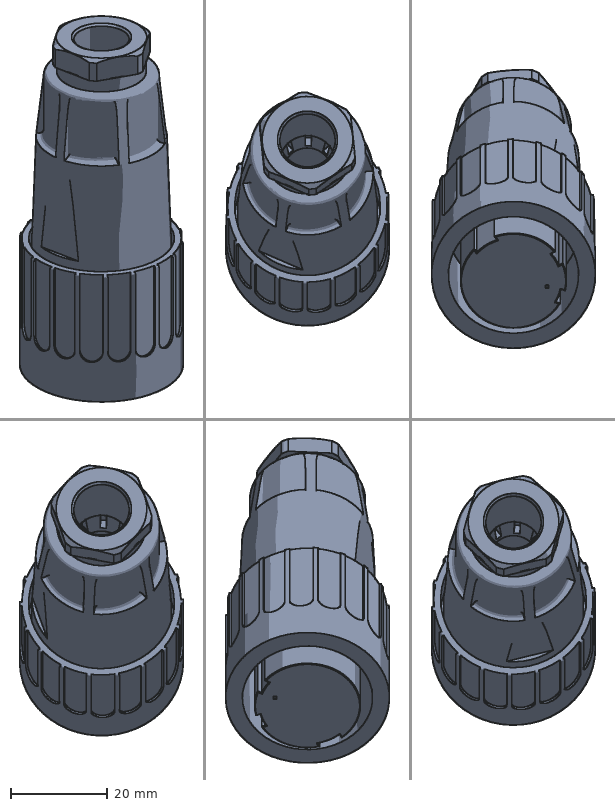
import cadquery as cq
import math

TOTAL_HEIGHT = 79.6
HEX_BOTTOM = 74.75
SHELL_TOP = 71.65
CAGE_TOP = 63.7
CAGE_SLOT_FLOOR = 58.9
CAGE_SEAT = 57.3
SHOULDER = 56.5
FLAT_BOTTOM = 34.2
RING_TOP = 32.55
FLANGE_TOP = 31.45
INSERT_TOP = 30.25
SHELL_BOTTOM = 23.9
FLUTE_BOTTOM = 12.25
RING_BOTTOM = 3.0
INSERT_BOTTOM = 0.2

HEX_ACROSS_FLATS = 18.95
HEX_CORNER_DIAMETER = 21.0
HEX_TOP_DIAMETER = 18.8
HEX_CHAMFER_HEIGHT = 0.6
NECK_DIAMETER = 18.6
GLAND_BORE_DIAMETER = 17.0
CABLE_BORE_DIAMETER = 11.5
CABLE_BORE_CHAMFER = 0.5

CAGE_THROAT_DIAMETER = 10.0
CAGE_SLOT_COUNT = 8
CAGE_SLOT_WIDTH = 1.3
CAGE_SLOT_OUTER_DIAMETER = 13.5

COLLAR_DIAMETER = 24.0
COLLAR_FILLET = 1.0
RIB_TOP = SHELL_TOP - COLLAR_FILLET
GROOVE_FILLET = 1.1
SHOULDER_DIAMETER = 27.2
FLANGE_DIAMETER = 29.0
FLAT_SPACING = 27.0
WIRE_BORE_DIAMETER = 13.5
RIB_COUNT = 6
RIB_WIDTH = 2.2
RIB_ROOT_FILLET = 0.5

RING_DIAMETER = 34.0
RING_TOP_BORE_DIAMETER = 30.2
RING_BORE_DIAMETER = 27.0
RING_TOP_FILLET = 0.5
FLUTE_COUNT = 18
FLUTE_WIDTH = 4.85
FLUTE_DEPTH = 0.5
FLUTE_START_ANGLE = 2.5

INSERT_DIAMETER = 22.0
INSERT_CHAMFER = 0.15
KEYWAY_DEPTH = 0.95
NARROW_KEYWAY_WIDTH = 3.1
WIDE_KEYWAY_WIDTH = 5.1
KEYWAYS = [(180, WIDE_KEYWAY_WIDTH), (-85, NARROW_KEYWAY_WIDTH), (-35, NARROW_KEYWAY_WIDTH)]
INDEX_DOT_DIAMETER = 0.7
INDEX_DOT_OFFSET = 5.0


def cylinder(diameter, bottom, top):
    return cq.Workplane("XY").workplane(offset=bottom).circle(diameter / 2).extrude(top - bottom)


def cone(bottom_diameter, top_diameter, bottom, top):
    return (
        cq.Workplane("XY").workplane(offset=bottom).circle(bottom_diameter / 2)
        .workplane(offset=top - bottom).circle(top_diameter / 2).loft()
    )


def make_gland_nut():
    """Hexagonal nut with clipped corners, a neck and a stud that enters the shell."""
    hex_height = TOTAL_HEIGHT - HEX_BOTTOM
    chamfer_bottom = TOTAL_HEIGHT - HEX_CHAMFER_HEIGHT
    hexagon = (
        cq.Workplane("XY").workplane(offset=HEX_BOTTOM)
        .polygon(6, HEX_ACROSS_FLATS / math.cos(math.pi / 6)).extrude(hex_height)
    )
    corner_limit = cylinder(HEX_CORNER_DIAMETER, HEX_BOTTOM, chamfer_bottom).union(
        cone(HEX_CORNER_DIAMETER, HEX_TOP_DIAMETER, chamfer_bottom, TOTAL_HEIGHT)
    )
    head = hexagon.intersect(corner_limit)
    neck = cylinder(NECK_DIAMETER, SHELL_TOP, HEX_BOTTOM)
    stud = cylinder(GLAND_BORE_DIAMETER, CAGE_TOP, SHELL_TOP)
    bore = cylinder(CABLE_BORE_DIAMETER, CAGE_TOP, TOTAL_HEIGHT)
    bore_chamfer = cone(
        CABLE_BORE_DIAMETER, CABLE_BORE_DIAMETER + 2 * CABLE_BORE_CHAMFER,
        TOTAL_HEIGHT - CABLE_BORE_CHAMFER, TOTAL_HEIGHT,
    )
    return head.union(neck).union(stud).cut(bore).cut(bore_chamfer)


def make_clamping_cage():
    """Sleeve whose tapered mouth is split into fingers by radial slots."""
    cage = cylinder(GLAND_BORE_DIAMETER, CAGE_SEAT, CAGE_TOP)
    cage = cage.cut(cylinder(CAGE_THROAT_DIAMETER, CAGE_SEAT, CAGE_TOP))
    cage = cage.cut(cone(CAGE_THROAT_DIAMETER, CABLE_BORE_DIAMETER, CAGE_SLOT_FLOOR, CAGE_TOP))
    slot = (
        cq.Workplane("XY")
        .box(CAGE_SLOT_OUTER_DIAMETER / 2, CAGE_SLOT_WIDTH, CAGE_TOP - CAGE_SLOT_FLOOR,
             centered=(False, True, False))
        .translate((0, 0, CAGE_SLOT_FLOOR))
    )
    pitch = 360 / CAGE_SLOT_COUNT
    for index in range(CAGE_SLOT_COUNT):
        cage = cage.cut(slot.rotate((0, 0, 0), (0, 0, 1), (index + 0.5) * pitch))
    return cage


def make_shell_core():
    """Turned shell: rounded collar, concave groove, straight taper and straight flange."""
    collar_radius = COLLAR_DIAMETER / 2
    shoulder_radius = SHOULDER_DIAMETER / 2
    flange_radius = FLANGE_DIAMETER / 2
    fillet_step = 1 - math.sqrt(0.5)
    return (
        cq.Workplane("XZ")
        .moveTo(0, SHELL_BOTTOM)
        .lineTo(flange_radius, SHELL_BOTTOM)
        .lineTo(flange_radius, FLANGE_TOP)
        .lineTo(shoulder_radius, SHOULDER)
        .lineTo(collar_radius + GROOVE_FILLET, SHOULDER)
        .threePointArc(
            (collar_radius + fillet_step * GROOVE_FILLET, SHOULDER + fillet_step * GROOVE_FILLET),
            (collar_radius, SHOULDER + GROOVE_FILLET),
        )
        .lineTo(collar_radius, RIB_TOP)
        .threePointArc(
            (collar_radius - fillet_step * COLLAR_FILLET, SHELL_TOP - fillet_step * COLLAR_FILLET),
            (collar_radius - COLLAR_FILLET, SHELL_TOP),
        )
        .lineTo(0, SHELL_TOP)
        .close()
        .revolve(360, (0, 0, 0), (0, 1, 0))
    )


def make_rib_blade():
    """Radial blade on the +X side, as tall as a rib."""
    return (
        cq.Workplane("XY")
        .box(RING_DIAMETER, RIB_WIDTH, RIB_TOP - SHOULDER, centered=(False, True, False))
        .translate((0, 0, SHOULDER))
    )


def make_rib_star():
    """Tapered core whose ribs blend into the collar with small root fillets."""
    pockets = cylinder(RING_DIAMETER, SHOULDER, RIB_TOP).cut(cylinder(COLLAR_DIAMETER, SHOULDER, RIB_TOP))
    blade = make_rib_blade()
    pitch = 360 / RIB_COUNT
    for index in range(RIB_COUNT):
        pockets = pockets.cut(blade.rotate((0, 0, 0), (0, 0, 1), (index + 0.5) * pitch))
    collar_radius = COLLAR_DIAMETER / 2
    around_collar = cq.selectors.BoxSelector(
        (-collar_radius, -collar_radius, SHOULDER), (collar_radius, collar_radius, RIB_TOP)
    )
    pockets = pockets.edges("|Z").edges(around_collar).fillet(RIB_ROOT_FILLET)
    return cone(SHOULDER_DIAMETER, COLLAR_DIAMETER, SHOULDER, RIB_TOP).cut(pockets)


def cut_side_flats(shell):
    """Two parallel flats on -Y and +Y that end in a ledge above the flange."""
    for side in (-1, 1):
        flat = (
            cq.Workplane("XY")
            .box(FLANGE_DIAMETER, FLANGE_DIAMETER, SHELL_TOP - FLAT_BOTTOM, centered=(True, True, False))
            .translate((0, side * (FLAT_SPACING + FLANGE_DIAMETER) / 2, FLAT_BOTTOM))
        )
        shell = shell.cut(flat)
    return shell


def make_shell():
    shell = cut_side_flats(make_shell_core().union(make_rib_star()))
    shell = shell.cut(cylinder(GLAND_BORE_DIAMETER, CAGE_SEAT, SHELL_TOP))
    shell = shell.cut(cylinder(WIRE_BORE_DIAMETER, INSERT_TOP, CAGE_SEAT))
    return shell.cut(cylinder(INSERT_DIAMETER, SHELL_BOTTOM, INSERT_TOP))


def make_flute_cutter():
    """Round-ended slot on the +X side that leaves a cylindrical floor."""
    end_radius = FLUTE_WIDTH / 2
    end_center = FLUTE_BOTTOM + end_radius
    outline = (
        cq.Workplane("YZ")
        .moveTo(-end_radius, RING_TOP)
        .lineTo(-end_radius, end_center)
        .threePointArc((0, FLUTE_BOTTOM), (end_radius, end_center))
        .lineTo(end_radius, RING_TOP)
        .close()
        .extrude(RING_DIAMETER)
    )
    return outline.cut(cylinder(RING_DIAMETER - 2 * FLUTE_DEPTH, RING_BOTTOM, RING_TOP))


def make_coupling_ring():
    """Grip ring with flutes and a stepped bore on which the shell flange rests."""
    ring = cylinder(RING_DIAMETER, RING_BOTTOM, RING_TOP).faces(">Z").edges().fillet(RING_TOP_FILLET)
    flute = make_flute_cutter()
    pitch = 360 / FLUTE_COUNT
    for index in range(FLUTE_COUNT):
        angle = FLUTE_START_ANGLE + index * pitch
        ring = ring.cut(flute.rotate((0, 0, 0), (0, 0, 1), angle))
    ring = ring.cut(cylinder(RING_TOP_BORE_DIAMETER, SHELL_BOTTOM, RING_TOP))
    return ring.cut(cylinder(RING_BORE_DIAMETER, RING_BOTTOM, SHELL_BOTTOM))


def make_contact_insert():
    """Cylindrical insert with round-floored keyways below the shell and an index dot on its lower face."""
    insert = cylinder(INSERT_DIAMETER, INSERT_BOTTOM, INSERT_TOP)
    for angle, width in KEYWAYS:
        keyway = (
            cq.Workplane("XY")
            .box(INSERT_DIAMETER, width, SHELL_BOTTOM - INSERT_BOTTOM, centered=(False, True, False))
            .translate((0, 0, INSERT_BOTTOM))
            .cut(cylinder(INSERT_DIAMETER - 2 * KEYWAY_DEPTH, INSERT_BOTTOM, SHELL_BOTTOM))
        )
        insert = insert.cut(keyway.rotate((0, 0, 0), (0, 0, 1), angle))
    insert = insert.faces("<Z").edges().chamfer(INSERT_CHAMFER)
    index_dot = cylinder(INDEX_DOT_DIAMETER, 0, INSERT_BOTTOM)
    return insert.union(index_dot.translate((INDEX_DOT_OFFSET, -INDEX_DOT_OFFSET, 0)))


gland_nut = make_gland_nut()
clamping_cage = make_clamping_cage()
shell = make_shell()
coupling_ring = make_coupling_ring()
contact_insert = make_contact_insert()

result = cq.Compound.makeCompound([
    gland_nut.val(),
    clamping_cage.val(),
    shell.val(),
    coupling_ring.val(),
    contact_insert.val(),
])